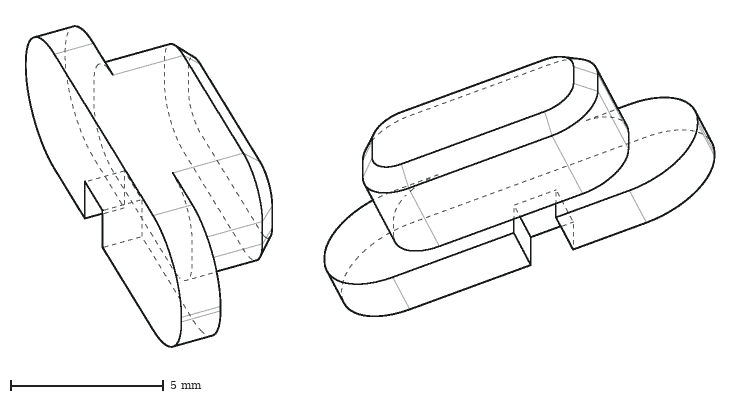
import cadquery as cq

flange_length = 13.4
flange_height = 5.1
flange_thickness = 1.4
flange_corner_radius = 2.45

total_depth = 4.5
plug_length = 8.44
plug_height = 4.29
plug_corner_radius = 1.65
plug_chamfer = 0.6
plug_depth = total_depth - flange_thickness
plug_center_z = (flange_height - plug_height) / 2

notch_width = 1.51
notch_height = 1.65
notch_center_x = -0.86


def rounded_block(length, height, depth, corner_radius):
    """Block centred on X and Z, running from Y = 0 to depth, with rounded corners."""
    block = cq.Workplane("XY").box(length, depth, height, centered=(True, False, True))
    return block.edges("|Y").fillet(corner_radius)


def make_flange():
    flange = rounded_block(flange_length, flange_height, flange_thickness, flange_corner_radius)
    notch = (
        cq.Workplane("XY")
        .box(notch_width, flange_thickness, notch_height, centered=(True, False, False))
        .translate((notch_center_x, 0, -flange_height / 2))
    )
    return flange.cut(notch)


def make_plug():
    plug = rounded_block(plug_length, plug_height, plug_depth, plug_corner_radius)
    plug = plug.faces(">Y").chamfer(plug_chamfer)
    return plug.translate((0, flange_thickness, plug_center_z))


result = make_flange().union(make_plug())